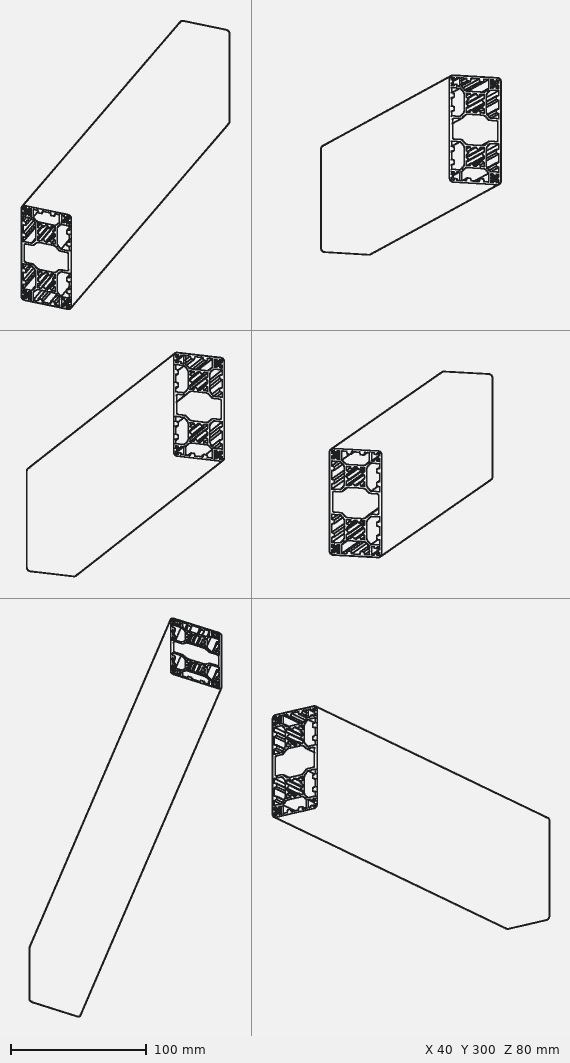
import cadquery as cq

MODULE = 40.0
LENGTH = 300.0
WIDTH = MODULE
HEIGHT = 2 * MODULE
CORNER_RADIUS = 3.0
QUARTER_TURN = 90

MODULE_CENTRE = MODULE / 2

WALL = 1.7
OUTER_WALL_INNER = MODULE / 2 - WALL
SLOT_HALF_WIDTH = 10.5
CORNER_CELL_INNER = SLOT_HALF_WIDTH + WALL
CORNER_CELL_SIZE = OUTER_WALL_INNER - CORNER_CELL_INNER
CORNER_CELL_CENTRE = (OUTER_WALL_INNER + CORNER_CELL_INNER) / 2
CORE_HALF_OUTER = 8.6
CORE_HALF_INNER = 7.0

WEB_SLOT_OFFSET = 1.25
WEB_CHAMBER_OFFSET = 1.65
WEB_SLOT_FILLET = 3.5
WEB_CHAMBER_FILLET = 4.0

SLOT_RIB_CENTRE = 5.0
SLOT_RIB_BASE = 3.9
SLOT_RIB_TIP = 2.55
SLOT_RIB_HEIGHT = 2.0

CORE_TOOTH_INNER = 0.6
CORE_TOOTH_OUTER = 4.1
CORE_TOOTH_TIP_CENTRE = 2.9
CORE_TOOTH_TIP_WIDTH = 0.5
CORE_TOOTH_HEIGHT = 1.9

CELL_TOOTH_BASE = 2.5
CELL_TOOTH_TIP = 1.9
CELL_TOOTH_HEIGHT = 1.05

CHAMBER_WALL = 2.4
CHAMBER_HALF_WIDTH = WIDTH / 2 - CHAMBER_WALL
CHAMBER_SHOULDER = SLOT_HALF_WIDTH + WALL
CHAMBER_SHOULDER_FILLET = 2.2
CHAMBER_CORNER_FILLET = 1.4


def prism(points):
    """Closed XZ outline extruded over the full length, centred on Y."""
    return cq.Workplane("XZ").polyline(points).close().extrude(LENGTH / 2, both=True)


def mirrored_prism(right_half):
    """Full-length prism from the right half of an outline symmetric in X."""
    left_half = [(-x, z) for x, z in reversed(right_half)]
    return prism(right_half + left_half)


def bar(x_size, z_size):
    """Full-length rectangular bar centred on the Y axis."""
    return cq.Workplane("XY").box(x_size, LENGTH, z_size)


def turned(shape, quarter_turns):
    """The shape turned about the Y axis."""
    return shape.rotate((0, 0, 0), (0, 1, 0), quarter_turns * QUARTER_TURN)


def rib(centre, face_z, base, tip, height):
    """Trapezoidal rib hanging down from a face at face_z."""
    tip_z = face_z - height
    return prism(
        [
            (centre - base / 2, face_z),
            (centre - tip / 2, tip_z),
            (centre + tip / 2, tip_z),
            (centre + base / 2, face_z),
        ]
    )


def fillet_pair(shape, x, z, radius):
    """Round the two lengthwise edges at height z, at x and at -x."""
    for edge_x in (-x, x):
        nearest = cq.selectors.NearestToPointSelector((edge_x, 0, z))
        shape = shape.edges("|Y").edges(nearest).fillet(radius)
    return shape


def slot_cavity():
    """Closed slot chamber on the +Z side of the core, with two ribs."""
    floor_x = CORE_HALF_OUTER - WEB_SLOT_OFFSET
    cavity = mirrored_prism(
        [
            (floor_x, CORE_HALF_OUTER),
            (SLOT_HALF_WIDTH, SLOT_HALF_WIDTH + WEB_SLOT_OFFSET),
            (SLOT_HALF_WIDTH, OUTER_WALL_INNER),
        ]
    )
    cavity = fillet_pair(cavity, floor_x, CORE_HALF_OUTER, WEB_SLOT_FILLET)
    for side in (-1, 1):
        centre = side * SLOT_RIB_CENTRE
        cavity = cavity.cut(rib(centre, OUTER_WALL_INNER, SLOT_RIB_BASE, SLOT_RIB_TIP, SLOT_RIB_HEIGHT))
    return cavity


def core_tooth(side):
    """Leaning tooth on the +Z side of the core, towards +X or -X."""
    tip_z = CORE_HALF_INNER - CORE_TOOTH_HEIGHT
    return prism(
        [
            (side * CORE_TOOTH_INNER, CORE_HALF_INNER),
            (side * (CORE_TOOTH_TIP_CENTRE - CORE_TOOTH_TIP_WIDTH / 2), tip_z),
            (side * (CORE_TOOTH_TIP_CENTRE + CORE_TOOTH_TIP_WIDTH / 2), tip_z),
            (side * CORE_TOOTH_OUTER, CORE_HALF_INNER),
        ]
    )


def core_cavity():
    """Square core bore with two leaning teeth on every side."""
    cavity = bar(2 * CORE_HALF_INNER, 2 * CORE_HALF_INNER)
    for side in (-1, 1):
        tooth = core_tooth(side)
        for quarter_turns in range(4):
            cavity = cavity.cut(turned(tooth, quarter_turns))
    return cavity


def corner_cell():
    """Square cell of the +X +Z corner; its side facing the end slot is plain."""
    cell = bar(CORNER_CELL_SIZE, CORNER_CELL_SIZE)
    tooth = rib(0, CORNER_CELL_SIZE / 2, CELL_TOOTH_BASE, CELL_TOOTH_TIP, CELL_TOOTH_HEIGHT)
    for quarter_turns in range(3):
        cell = cell.cut(turned(tooth, quarter_turns))
    return cell.translate((CORNER_CELL_CENTRE, 0, CORNER_CELL_CENTRE))


def module_cavities():
    """All cavities of the upper module, in their place."""
    cell = corner_cell()
    slot = slot_cavity()
    cavities = core_cavity().union(cell).union(cell.mirror("YZ"))
    for quarter_turns in (-1, 0, 1):
        cavities = cavities.union(turned(slot, quarter_turns))
    return cavities.translate((0, 0, MODULE_CENTRE))


def middle_chamber():
    """Wide chamber between the modules, narrowing over rounded shoulders to each core."""
    floor_x = CORE_HALF_OUTER - WEB_CHAMBER_OFFSET
    shoulder_x = CHAMBER_SHOULDER - WEB_CHAMBER_OFFSET
    lower = mirrored_prism(
        [
            (floor_x, CORE_HALF_OUTER),
            (shoulder_x, CHAMBER_SHOULDER),
            (CHAMBER_HALF_WIDTH, CHAMBER_SHOULDER),
            (CHAMBER_HALF_WIDTH, MODULE_CENTRE),
        ]
    )
    lower = fillet_pair(lower, floor_x, CORE_HALF_OUTER, WEB_CHAMBER_FILLET)
    lower = fillet_pair(lower, shoulder_x, CHAMBER_SHOULDER, CHAMBER_SHOULDER_FILLET)
    lower = fillet_pair(lower, CHAMBER_HALF_WIDTH, CHAMBER_SHOULDER, CHAMBER_CORNER_FILLET)
    lower = lower.translate((0, 0, -MODULE_CENTRE))
    return lower.union(lower.mirror("XY"))


upper_cavities = module_cavities()
body = bar(WIDTH, HEIGHT).edges("|Y").fillet(CORNER_RADIUS)
body = body.cut(upper_cavities).cut(upper_cavities.mirror("XY"))
result = body.cut(middle_chamber())